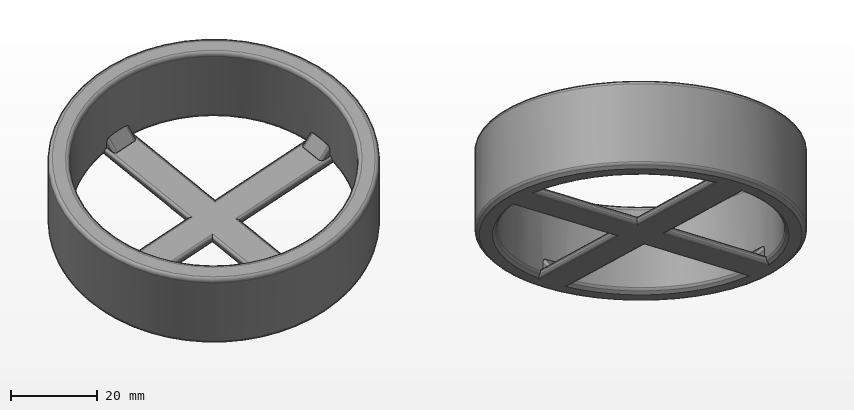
import cadquery as cq

outer_diameter = 76.5
inner_diameter = 66.5
height = 22.0
edge_size = 1.0

arm_width = 8.5
arm_thickness = 2.0
arm_edge_rounding = 0.7

gusset_width = 6.9
gusset_size = 3.0
gusset_rounding = 0.8

outer_radius = outer_diameter / 2
inner_radius = inner_diameter / 2
wall_middle = (outer_radius + inner_radius) / 2


def make_ring():
    """Ring with a rounded rim and a softened chamfer on both edges of its foot."""
    ring = cq.Workplane("XY").circle(outer_radius).circle(inner_radius).extrude(height)
    ring = ring.faces("<Z").chamfer(edge_size)
    reach = 2 * outer_radius
    chamfer_tops = cq.selectors.BoxSelector(
        (-reach, -reach, edge_size / 2),
        (reach, reach, 3 * edge_size / 2),
        boundingbox=True,
    )
    ring = ring.edges(chamfer_tops).fillet(edge_size)
    return ring.faces(">Z").edges().fillet(edge_size)


def make_cross():
    """Two crossing bars, rounded along their top and bottom edges, ending inside the wall."""
    bar_length = 2 * wall_middle
    bar_x = cq.Workplane("XY").rect(bar_length, arm_width).extrude(arm_thickness)
    bar_y = cq.Workplane("XY").rect(arm_width, bar_length).extrude(arm_thickness)
    return bar_x.union(bar_y).faces("<Z or >Z").edges().fillet(arm_edge_rounding)


def make_gusset():
    """45 degree wedge on the +X arm, extended down into the arm and out into the wall."""
    toe = inner_radius - gusset_size
    sunk_toe = toe - arm_thickness / 2
    sunk_bottom = arm_thickness / 2
    top = arm_thickness + wall_middle - toe
    return (
        cq.Workplane("XZ")
        .polyline([(sunk_toe, sunk_bottom), (wall_middle, sunk_bottom), (wall_middle, top)])
        .close()
        .extrude(gusset_width / 2, both=True)
        .edges("not (|X or |Y or |Z)")
        .fillet(gusset_rounding)
    )


result = make_ring().union(make_cross())

gusset = make_gusset()
for quarter in range(4):
    result = result.union(gusset.rotate((0, 0, 0), (0, 0, 1), 90 * quarter))